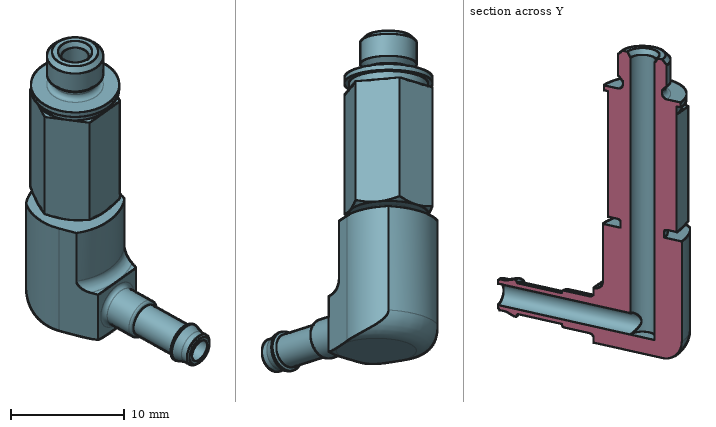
import cadquery as cq
import math

body_reach = 4.02
body_top = 11.65
end_radius = 5.55
side_radius = 4.88
side_center_x = -0.17
taper_angle = math.radians(19)
outlet_face_x = 4.97
heel_fillet = 2.0
ledge_z = 5.28
ledge_fillet = 0.9

head_radius = 5.0 / 2
groove_radius = 4.02 / 2
neck_radius = 2.25
neck_flare = 0.23
hex_flats = 7.0
hex_bottom = 12.4
hex_top = 23.73
hex_chamfer_angle = math.radians(30)
washer_radius = 7.8 / 2
washer_bottom = 24.45
washer_top = 24.97
groove_top = 25.72
head_chamfer = 0.45
total_height = 28.7

barb_axis_z = 2.6
barb_end = 14.67
shoulder_radius = 3.6 / 2
hose_radius = 3.0 / 2
root_fillet = 0.4
shoulder_end = 7.92
shoulder_blend = 0.3
lip_start = 12.65
lip_rise = 0.17
lip_land = 0.17
lip_cone = 0.85
tip_chamfer = 0.17

bore_radius = 2.4 / 2
bore_mouth_radius = 3.0 / 2
bore_mouth_depth = 0.52
barb_bore_radius = 2.0 / 2

arc_mid = math.sqrt(0.5)


def elbow_body():
    """Tapered plan outline with rounded ends, a filleted heel and a stepped outlet side."""
    side_center_y = body_reach - side_radius
    left_y = side_center_y + math.sqrt(side_radius**2 - (body_reach + side_center_x)**2)
    taper_x = side_center_x + side_radius * math.sin(taper_angle)
    taper_y = side_center_y + side_radius * math.cos(taper_angle)
    outlet_y = taper_y - (outlet_face_x - taper_x) * math.tan(taper_angle)
    block = (
        cq.Workplane("XY")
        .moveTo(-body_reach, -left_y)
        .lineTo(-body_reach, left_y)
        .threePointArc((side_center_x, body_reach), (taper_x, taper_y))
        .lineTo(outlet_face_x, outlet_y)
        .lineTo(outlet_face_x, -outlet_y)
        .lineTo(taper_x, -taper_y)
        .threePointArc((side_center_x, -body_reach), (-body_reach, -left_y))
        .close()
        .extrude(body_top)
    )
    end_offset = end_radius - body_reach
    heel = (
        cq.Workplane("XY")
        .center(end_offset, 0)
        .circle(end_radius)
        .extrude(body_top)
        .faces("<Z")
        .edges()
        .fillet(heel_fillet)
    )
    ring_outer = 2 * end_radius
    fillet_mid = ledge_fillet * (1 - arc_mid)
    ring = (
        cq.Workplane("XZ")
        .moveTo(end_radius, body_top)
        .lineTo(end_radius, ledge_z + ledge_fillet)
        .threePointArc(
            (end_radius + fillet_mid, ledge_z + fillet_mid),
            (end_radius + ledge_fillet, ledge_z),
        )
        .lineTo(ring_outer, ledge_z)
        .lineTo(ring_outer, body_top)
        .close()
        .revolve(360, (0, 0, 0), (0, 1, 0))
        .translate((-end_offset, 0, 0))
    )
    outlet_side = cq.Workplane("XY").box(
        ring_outer, 2 * ring_outer, body_top, centered=(False, True, False)
    )
    return block.intersect(heel).cut(ring.intersect(outlet_side))


def hexagon():
    """Hexagon with flats facing X and its lower corners chamfered."""
    corner_radius = hex_flats / 2 / math.cos(math.pi / 6)
    prism = (
        cq.Workplane("XY", origin=(0, 0, hex_bottom))
        .polygon(6, 2 * corner_radius)
        .extrude(hex_top - hex_bottom)
        .rotate((0, 0, 0), (0, 0, 1), 30)
    )
    limit_radius = 2 * corner_radius
    chamfer_rise = (limit_radius - hex_flats / 2) * math.tan(hex_chamfer_angle)
    limit = (
        cq.Workplane("XZ")
        .moveTo(0, hex_bottom)
        .lineTo(hex_flats / 2, hex_bottom)
        .lineTo(limit_radius, hex_bottom + chamfer_rise)
        .lineTo(limit_radius, hex_top)
        .lineTo(0, hex_top)
        .close()
        .revolve(360, (0, 0, 0), (0, 1, 0))
    )
    return prism.intersect(limit)


def lower_neck():
    """Round neck between body and hexagon, flaring where it meets the hexagon."""
    flare_mid = neck_flare * (1 - arc_mid)
    return (
        cq.Workplane("XZ")
        .moveTo(0, body_top)
        .lineTo(neck_radius, body_top)
        .lineTo(neck_radius, hex_bottom - neck_flare)
        .threePointArc(
            (neck_radius + flare_mid, hex_bottom - flare_mid),
            (neck_radius + neck_flare, hex_bottom),
        )
        .lineTo(0, hex_bottom)
        .close()
        .revolve(360, (0, 0, 0), (0, 1, 0))
    )


def threaded_head():
    """Collar, washer, undercut and chamfered head above the hexagon."""
    undercut = head_radius - groove_radius
    flare_mid = undercut * (1 - arc_mid)
    return (
        cq.Workplane("XZ")
        .moveTo(0, hex_top)
        .lineTo(hex_flats / 2, hex_top)
        .lineTo(hex_flats / 2, washer_bottom)
        .lineTo(washer_radius, washer_bottom)
        .lineTo(washer_radius, washer_top)
        .lineTo(head_radius, washer_top)
        .threePointArc(
            (groove_radius + flare_mid, washer_top + flare_mid),
            (groove_radius, washer_top + undercut),
        )
        .lineTo(groove_radius, groove_top)
        .lineTo(head_radius, groove_top + undercut)
        .lineTo(head_radius, total_height - head_chamfer)
        .lineTo(head_radius - head_chamfer, total_height)
        .lineTo(0, total_height)
        .close()
        .revolve(360, (0, 0, 0), (0, 1, 0))
    )


def hose_barb():
    """Stepped spigot along +X with a filleted root and a retaining lip."""
    root_mid = root_fillet * (1 - arc_mid)
    blend_mid = shoulder_blend * (1 - arc_mid)
    blend_end = shoulder_end + shoulder_blend
    lip_full = lip_start + lip_rise
    cone_start = lip_full + lip_land
    return (
        cq.Workplane("XZ")
        .moveTo(outlet_face_x, 0)
        .lineTo(outlet_face_x, shoulder_radius + root_fillet)
        .threePointArc(
            (outlet_face_x + root_mid, shoulder_radius + root_mid),
            (outlet_face_x + root_fillet, shoulder_radius),
        )
        .lineTo(shoulder_end, shoulder_radius)
        .threePointArc(
            (blend_end - blend_mid, shoulder_radius - blend_mid),
            (blend_end, hose_radius),
        )
        .lineTo(lip_start, hose_radius)
        .lineTo(lip_full, shoulder_radius)
        .lineTo(cone_start, shoulder_radius)
        .lineTo(cone_start + lip_cone, hose_radius)
        .lineTo(barb_end - tip_chamfer, hose_radius)
        .lineTo(barb_end, hose_radius - tip_chamfer)
        .lineTo(barb_end, 0)
        .close()
        .revolve(360, (0, 0, 0), (1, 0, 0))
        .translate((0, 0, barb_axis_z))
    )


def flow_passage():
    """Vertical bore with a conical mouth, meeting the bore through the barb."""
    bore_floor = barb_axis_z - barb_bore_radius
    vertical = (
        cq.Workplane("XZ")
        .moveTo(0, bore_floor)
        .lineTo(bore_radius, bore_floor)
        .lineTo(bore_radius, total_height - bore_mouth_depth)
        .lineTo(bore_mouth_radius, total_height)
        .lineTo(0, total_height)
        .close()
        .revolve(360, (0, 0, 0), (0, 1, 0))
    )
    outlet = (
        cq.Workplane("YZ", origin=(0, 0, barb_axis_z))
        .circle(barb_bore_radius)
        .extrude(barb_end)
    )
    return vertical.union(outlet)


result = (
    elbow_body()
    .union(lower_neck())
    .union(hexagon())
    .union(threaded_head())
    .union(hose_barb())
    .cut(flow_passage())
)